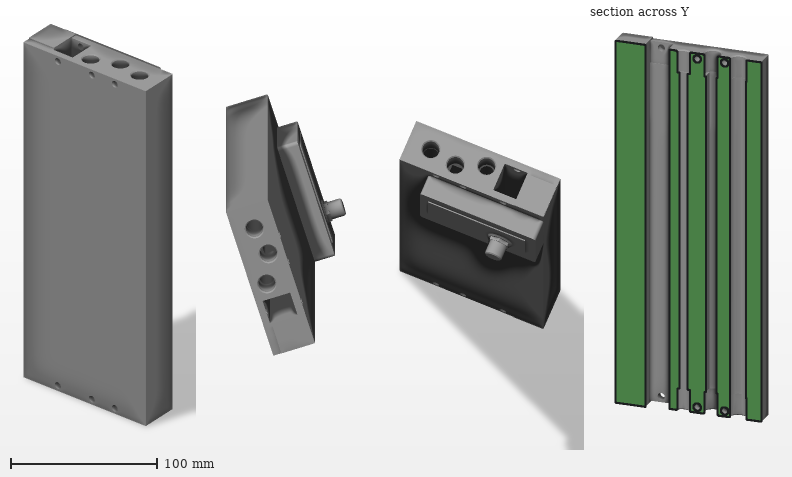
import cadquery as cq

width = 106.8
height = 267.0
block_depth = 30.0
overall_depth = 58.5
back_chamfer = 0.5
front_chamfer = 0.3

pad_height = 1.0
pad_left = 0.13
pad_right = 22.2
pad_front = 6.0
block_bottom = pad_height
block_top = height - pad_height

channel_left = pad_right
channel_width = 17.0
channel_front = 4.8
channel_depth = 19.8
channel_mouth_depth = 20.3
channel_mouth_length = 16.0

port_mouth_diameter = 13.4
port_bore_diameter = 11.7
port_chamfer = (port_mouth_diameter - port_bore_diameter) / 2
port_bore_length = 16.0
round_ports = [
    (50.0, 11.2, 9.5),
    (89.7, 15.0, 11.2),
]
flat_port_x = 70.0
flat_port_y = 18.7
flat_passage_diameter = 10.1
flat_passage_width = 7.5
flat_passage_drop = 3.7

mount_hole_diameter = 5.0
mount_hole_inset = 4.3
mount_hole_x = [30.2, 59.8, 79.8]

housing_width = 85.5
housing_bottom = 203.0
housing_height = 53.7
housing_back = 44.3
housing_round = 2.5

plate_left = 7.5
plate_width = 71.8
plate_bottom = 212.3
plate_height = 34.5
plate_back = 45.0

connector_x = 25.5
connector_z = 226.7
flange_diameter = 18.5
flange_top_diameter = 16.0
flange_back = 46.2
hex_across_corners = 15.0
hex_back = 48.5
barrel_diameter = 12.3
barrel_chamfer = 0.8


def box(x, y, z, dx, dy, dz):
    """Box given by its lowest corner and its sizes."""
    return cq.Workplane("XY").box(dx, dy, dz, centered=False).translate((x, y, z))


def vertical_cylinder(x, y, diameter, bottom, top):
    return cq.Workplane("XY", origin=(x, y, bottom)).circle(diameter / 2).extrude(top - bottom)


def connector_plane(y):
    """Plane at depth y, centred on the connector and facing +Y."""
    plane = cq.Plane(origin=(connector_x, y, connector_z), xDir=(0, 0, 1), normal=(0, 1, 0))
    return cq.Workplane(plane)


def make_block():
    block = box(0, 0, 0, width, block_depth, height)
    block = block.edges("|Z and >Y").chamfer(back_chamfer)
    block = block.edges("|Z and <Y").chamfer(front_chamfer)
    pad_area = box(pad_left, pad_front, 0, pad_right - pad_left, block_depth - pad_front, height)
    main_area = box(0, 0, block_bottom, width, block_depth, block_top - block_bottom)
    return block.intersect(main_area.union(pad_area))


def make_channel():
    channel = box(channel_left, channel_front, 0, channel_width, channel_depth, height)
    mouth = box(
        channel_left, channel_front, block_top - channel_mouth_length,
        channel_width, channel_mouth_depth, channel_mouth_length,
    )
    return channel.union(mouth)


def make_port_mouths(x, y):
    """Countersunk bores entering from the top and the bottom end."""
    bore_radius = port_bore_diameter / 2
    mouth_radius = port_mouth_diameter / 2
    profile = [
        (0, block_top - port_bore_length),
        (bore_radius, block_top - port_bore_length),
        (bore_radius, block_top - port_chamfer),
        (mouth_radius, block_top),
        (0, block_top),
    ]
    top = cq.Workplane("XZ").polyline(profile).close().revolve(360, (0, 0, 0), (0, 1, 0))
    bottom = top.mirror("XY", (0, 0, height / 2))
    return top.union(bottom).translate((x, y, 0))


def make_ports():
    ports = cq.Workplane("XY")
    for x, y, passage_diameter in round_ports:
        ports = ports.add(make_port_mouths(x, y))
        ports = ports.add(vertical_cylinder(x, y, passage_diameter, block_bottom, block_top))

    passage = vertical_cylinder(flat_port_x, flat_port_y, flat_passage_diameter, block_bottom, block_top)
    flats = box(
        flat_port_x - flat_passage_width / 2, flat_port_y - flat_passage_drop, 0,
        flat_passage_width, flat_passage_drop + flat_passage_diameter / 2, height,
    )
    ports = ports.add(make_port_mouths(flat_port_x, flat_port_y))
    ports = ports.add(passage.intersect(flats))
    return ports.combine()


def make_mount_holes():
    end_heights = [block_bottom + mount_hole_inset, block_top - mount_hole_inset]
    centres = [(x, z) for x in mount_hole_x for z in end_heights]
    return cq.Workplane("XZ").pushPoints(centres).circle(mount_hole_diameter / 2).extrude(-block_depth)


def make_housing():
    housing = box(0, block_depth, housing_bottom, housing_width, housing_back - block_depth, housing_height)
    housing = housing.edges("|Y").fillet(housing_round)
    plate = box(plate_left, housing_back, plate_bottom, plate_width, plate_back - housing_back, plate_height)
    return housing.union(plate)


def make_connector():
    flange = (
        connector_plane(plate_back).circle(flange_diameter / 2)
        .workplane(offset=flange_back - plate_back).circle(flange_top_diameter / 2).loft()
    )
    hex_nut = connector_plane(flange_back).polygon(6, hex_across_corners).extrude(hex_back - flange_back)
    barrel = connector_plane(hex_back).circle(barrel_diameter / 2).extrude(overall_depth - hex_back)
    barrel = barrel.faces(">Y").chamfer(barrel_chamfer)
    return flange.union(hex_nut).union(barrel)


block = make_block().cut(make_channel()).cut(make_ports()).cut(make_mount_holes())
result = block.union(make_housing()).union(make_connector())